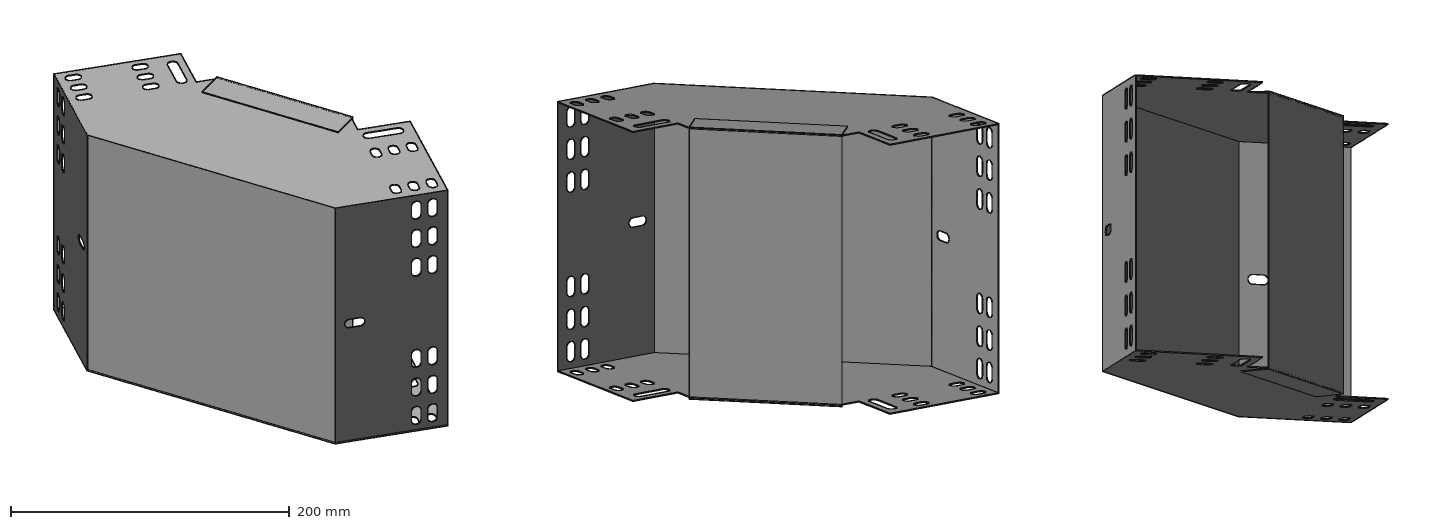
import cadquery as cq
import math

overall_length = 322.0
overall_depth = 127.0
overall_height = 203.3
sheet = 0.8
channel_height = overall_height - 2 * sheet

end_turn = math.radians(45)
end_x = overall_length / 2
end_y = 59.5
front_x = end_x - end_y
ear_y = overall_depth
ear_x = end_x - (ear_y - end_y)
ear_step = 27.7
notch_x = ear_x - ear_step
notch_y = ear_y - ear_step

cover_length = 111.5
cover_back_y = 111.0
cover_flange = 22.5
back_edge_y = cover_back_y - sheet
back_edge_x = notch_x - (back_edge_y - notch_y)

wall_slot_length = 15.0
wall_slot_width = 7.0
wall_slot_distances = (11.3, 23.5)
wall_slot_heights = (39.0, 63.5, 87.5)
middle_slot_distance = 69.5

plate_slot_length = 12.0
plate_slot_width = 7.0
plate_slot_first = 8.5
plate_slot_pitch = 13.5
plate_slot_columns = 3
plate_slot_across = (12.2, 62.2)
ear_slot_length = 30.0
ear_slot_width = 7.7
ear_slot_inward = 23.0
ear_slot_across = 85.7

diagonal = math.cos(end_turn)


def plan_prism(right_half, height):
    """Prism centred on Z = 0 whose plan is the given half outline and its mirror image."""
    left_half = [(-x, y) for x, y in reversed(right_half)]
    return (
        cq.Workplane("XY")
        .polyline(right_half + left_half)
        .close()
        .extrude(height / 2, both=True)
    )


def channel_shell():
    """Front and side walls with top and bottom plates; open at both ends and at the back."""
    outer = plan_prism(
        [
            (front_x, 0),
            (end_x, end_y),
            (ear_x, ear_y),
            (notch_x, notch_y),
            (back_edge_x, back_edge_y),
        ],
        channel_height,
    )
    inner_front_x = front_x - sheet * math.tan(end_turn / 2)
    run = overall_depth
    cavity = plan_prism(
        [
            (inner_front_x, sheet),
            (inner_front_x + run, sheet + run),
        ],
        channel_height - 2 * sheet,
    )
    return outer.cut(cavity)


def wall_slots():
    """Cutters through the right side wall."""
    wall_plane = cq.Plane(
        origin=(end_x, end_y, 0),
        xDir=(-diagonal, -diagonal, 0),
        normal=(diagonal, -diagonal, 0),
    )
    wall = cq.Workplane(wall_plane)
    end_slots = [
        (distance, side * height)
        for distance in wall_slot_distances
        for height in wall_slot_heights
        for side in (1, -1)
    ]
    cut_depth = 2 * sheet
    upright = (
        wall.pushPoints(end_slots)
        .slot2D(wall_slot_length, wall_slot_width, 90)
        .extrude(cut_depth, both=True)
    )
    middle = (
        wall.center(middle_slot_distance, 0)
        .slot2D(wall_slot_length, wall_slot_width)
        .extrude(cut_depth, both=True)
    )
    return upright.add(middle).combine()


def plate_slots():
    """Cutters through the top and bottom plates at the right end."""
    plate_plane = cq.Plane(
        origin=(end_x, end_y, 0),
        xDir=(-diagonal, -diagonal, 0),
        normal=(0, 0, 1),
    )
    plate = cq.Workplane(plate_plane)
    small_slots = [
        (plate_slot_first + column * plate_slot_pitch, -across)
        for column in range(plate_slot_columns)
        for across in plate_slot_across
    ]
    small = (
        plate.pushPoints(small_slots)
        .slot2D(plate_slot_length, plate_slot_width, 90)
        .extrude(channel_height, both=True)
    )
    ear = (
        plate.center(ear_slot_inward, -ear_slot_across)
        .slot2D(ear_slot_length, ear_slot_width)
        .extrude(channel_height, both=True)
    )
    return small.add(ear).combine()


def make_channel():
    channel = channel_shell()
    for cutter in (wall_slots(), plate_slots()):
        channel = channel.cut(cutter).cut(cutter.mirror("YZ"))
    return channel


def make_cover():
    """U-shaped strip: back wall with flanges lying on the top and bottom plates."""
    block = cq.Workplane("XY").box(cover_length, cover_flange, overall_height)
    gap = cq.Workplane("XY").box(cover_length, cover_flange, channel_height)
    cover = block.cut(gap.translate((0, -sheet, 0)))
    return cover.translate((0, cover_back_y - cover_flange / 2, 0))


channel = make_channel()
cover = make_cover()

result = cq.Compound.makeCompound([channel.val(), cover.val()])